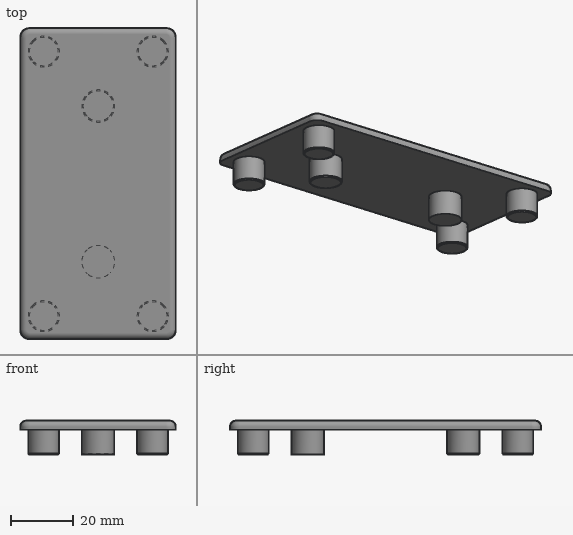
import cadquery as cq

plate_width = 50.0
plate_length = 100.0
plate_thickness = 3.0
corner_radius = 3.0
top_edge_radius = 2.0

leg_height = 8.0
leg_chamfer = 0.4
foot_diameter = 10.0
foot_edge_distance = 7.5
post_diameter = 10.5
post_y = plate_length / 4


def make_leg(diameter, x, y):
    """Plain cylinder hanging from the underside of the plate at z = 0."""
    return (
        cq.Workplane("XY", origin=(x, y, -leg_height))
        .circle(diameter / 2)
        .extrude(leg_height)
    )


def make_chamfered_leg(diameter, x, y):
    """Leg with its lower edge broken."""
    return make_leg(diameter, x, y).faces("<Z").chamfer(leg_chamfer)


def make_plate():
    """Rounded plate with four corner feet, all one solid."""
    plate = (
        cq.Workplane("XY")
        .rect(plate_width, plate_length)
        .extrude(plate_thickness)
        .edges("|Z")
        .fillet(corner_radius)
        .faces(">Z")
        .edges()
        .fillet(top_edge_radius)
    )
    foot_x = plate_width / 2 - foot_edge_distance
    foot_y = plate_length / 2 - foot_edge_distance
    for x in (-foot_x, foot_x):
        for y in (-foot_y, foot_y):
            plate = plate.union(make_chamfered_leg(foot_diameter, x, y))
    return plate


plate = make_plate()

chamfered_post = make_chamfered_leg(post_diameter, 0, post_y)
plain_post = make_leg(post_diameter, 0, -post_y)

result = cq.Compound.makeCompound([plate.val(), chamfered_post.val(), plain_post.val()])